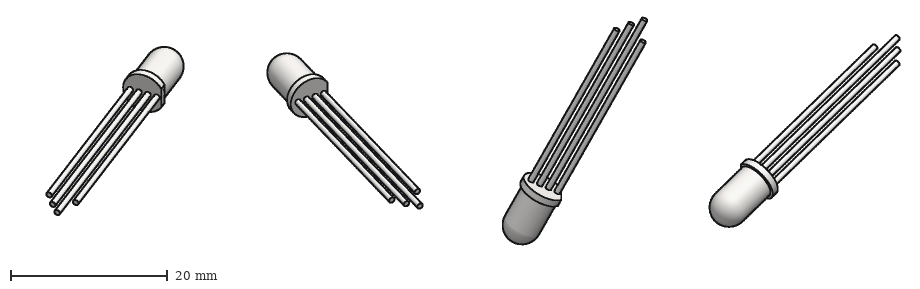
import cadquery as cq


lens_radius = 2.5
lens_length = 8.7
flange_radius = 2.9
flange_thickness = 1.0
flat_offset = lens_radius

lead_diameter = 0.8
lead_pitch = 1.25
lead_lengths = [24.4, 26.0, 27.3, 24.4]

dome_start = lens_length - lens_radius
first_lead_x = -lead_pitch * (len(lead_lengths) - 1) / 2


def make_lens():
    """Domed lens with a base flange that is cut flat on the +X side."""
    half_profile = (
        cq.Workplane("XY")
        .lineTo(flange_radius, 0)
        .lineTo(flange_radius, flange_thickness)
        .lineTo(lens_radius, flange_thickness)
        .lineTo(lens_radius, dome_start)
        .radiusArc((0, lens_length), -lens_radius)
        .close()
    )
    revolved_lens = half_profile.revolve(360, (0, 0, 0), (0, 1, 0))
    flat_cutter = cq.Workplane("XY").box(
        flange_radius, flange_thickness, 2 * flange_radius, centered=(False, False, True)
    )
    return revolved_lens.cut(flat_cutter.translate((flat_offset, 0, 0)))


def make_lead(x, length):
    """Round lead that butts against the flange underside and runs toward -Y."""
    return cq.Workplane("XZ").center(x, 0).circle(lead_diameter / 2).extrude(length)


lens = make_lens()

leads = []
for position, length in enumerate(lead_lengths):
    lead_x = first_lead_x + position * lead_pitch
    leads.append(make_lead(lead_x, length))

result = cq.Compound.makeCompound([lens.solids().val(), *[lead.val() for lead in leads]])